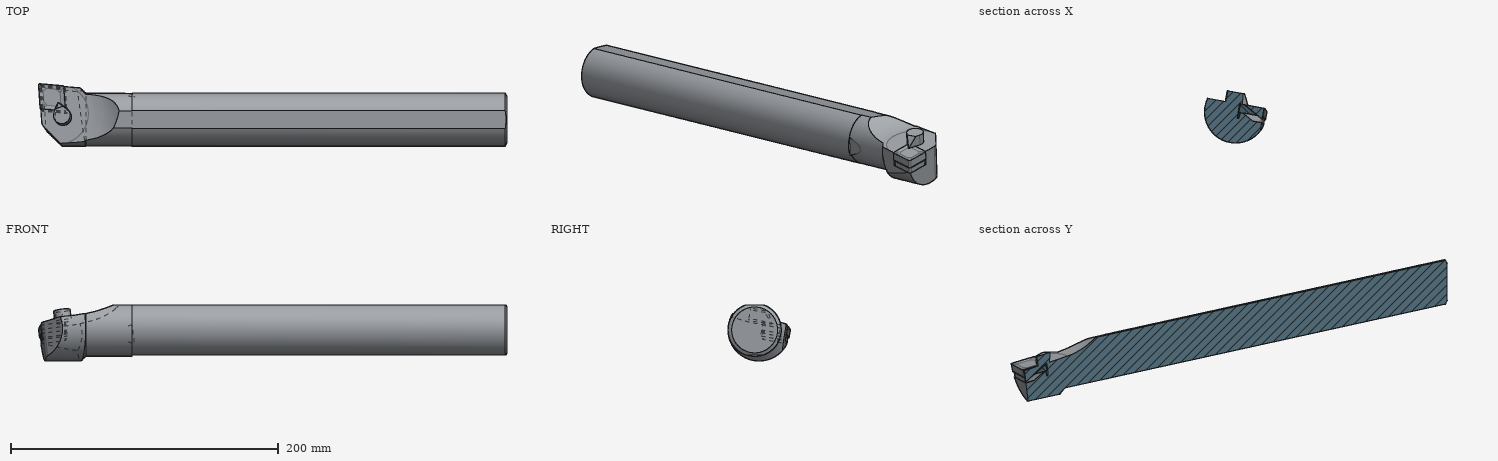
import cadquery as cq
import math


length = 350.0
shank_radius = 20.0
flat_width = 13.5
flat_height = math.sqrt(shank_radius**2 - (flat_width / 2) ** 2)
end_chamfer_length = 2.8
end_chamfer_depth = 1.5
neck_step = 0.18
neck_radius = shank_radius - neck_step
neck_end = 70.0

head_diameter = 46.5
head_radius = head_diameter / 2
head_shift = head_radius - shank_radius
head_start = -3.5
head_end = 35.5

tip_x = -0.1
tip_y = 27.0
axial_tilt = 7.0
radial_tilt = 10.0
lead_angle = 5.0

clearance_centre_x = 15.5
clearance_centre_y = -23.5
clearance_floor_radius = 22.8
runout_radius = 42.0
runout_angle = 70.0

holder_setback = 0.52
end_corner_y = -31.0
end_corner_round = 5.2
front_bevel_angle = 45.0
reach = 70.0

insert_side = 19.2
insert_angle = 80.0
insert_thickness = 6.3
nose_radius = 1.22
rim_width = 3.0
rim_land = 0.5
rim_depth = 0.52
rim_corner_cut = 0.5
floor_corner_cut = 2.5
shim_thickness = 4.5
shim_inset = 0.7

clamp_x = 19.2
clamp_y = -25.5
clamp_radius = 6.3
clamp_height = 8.0
clamp_direction = 110.0
clamp_reach = 12.0
clamp_ramp_angle = 55.0

tool_frame = cq.Location(
    cq.Plane(
        origin=(tip_x, tip_y, 0),
        xDir=(1, 0, math.tan(math.radians(axial_tilt))),
        normal=(-math.tan(math.radians(axial_tilt)), math.tan(math.radians(radial_tilt)), 1),
    )
)


def in_tool_frame(shape):
    """Move a shape built at the origin into the tilted tool frame."""
    return cq.Workplane(shape.val().moved(tool_frame))


def cylinder_x(radius, start, end, shift=0.0):
    """Cylinder along X with its axis at Y = shift."""
    return cq.Workplane("YZ", origin=(start, shift, 0)).circle(radius).extrude(end - start)


def flat_slab(start, bottom):
    """Slab between the two flats of the bar, from start to the rear end."""
    height = flat_height - bottom
    return (
        cq.Workplane("XY", origin=(start, 0, bottom))
        .rect(length - start, 2 * reach, centered=(False, True))
        .extrude(height)
    )


def make_shank():
    shank = cylinder_x(shank_radius, neck_end, length)
    shank = shank.faces(">X").chamfer(end_chamfer_depth, end_chamfer_length)
    return shank.intersect(flat_slab(neck_end, -flat_height))


def make_neck_and_head():
    """Neck and head, with a 45 degree cone about the bar axis trimming the rear of the head."""
    neck = cylinder_x(neck_radius, 0, neck_end)
    cone = (
        cq.Workplane("XY")
        .polyline(
            [
                (head_start, 0),
                (head_start, neck_radius + head_end - head_start),
                (head_end, neck_radius),
                (head_end, 0),
            ]
        )
        .close()
        .revolve(360, (0, 0, 0), (1, 0, 0))
    )
    head = cylinder_x(head_radius, head_start, head_end, head_shift).intersect(cone)
    return neck.union(head).intersect(flat_slab(head_start, -reach))


def chip_clearance():
    """Bowl with a flat floor on the insert plane and a round rim, open towards the head end."""
    turn = math.radians(runout_angle)

    def on_rim(angle):
        return (
            clearance_floor_radius + runout_radius * math.sin(angle),
            runout_radius * (1 - math.cos(angle)),
        )

    rim_radius, bowl_height = on_rim(turn)
    bowl = (
        cq.Workplane("XZ")
        .lineTo(clearance_floor_radius, 0)
        .threePointArc(on_rim(turn / 2), (rim_radius, bowl_height))
        .lineTo(0, bowl_height)
        .close()
        .revolve(360, (0, 0, 0), (0, 1, 0))
    )
    open_side = cq.Workplane("XY").box(reach, 2 * reach, bowl_height, centered=(False, True, False))
    clearance = bowl.union(open_side.translate((-reach, 0, 0)))
    return in_tool_frame(clearance.translate((clearance_centre_x, clearance_centre_y, 0)))


def end_cutter():
    """Material ahead of the end face and the front bevel, with the corner between them rounded."""
    lead = math.tan(math.radians(lead_angle))
    corner_x = holder_setback - end_corner_y * lead
    bevel_x = corner_x + reach * math.tan(math.radians(front_bevel_angle))
    outline = [
        (holder_setback - reach * lead, reach),
        (corner_x, end_corner_y),
        (bevel_x, end_corner_y - reach),
        (-reach, end_corner_y - reach),
        (-reach, reach),
    ]
    cutter = cq.Workplane("XY").polyline(outline).close().extrude(reach, both=True)
    corner = cq.selectors.NearestToPointSelector((corner_x, end_corner_y, 0))
    return in_tool_frame(cutter.edges(corner).fillet(end_corner_round))


def side_cutter():
    """Material beyond the side face, which runs along the insert edge at +Y."""
    drop = math.tan(math.radians(lead_angle))
    outline = [
        (-reach, -holder_setback + reach * drop),
        (reach, -holder_setback - reach * drop),
        (reach, reach),
        (-reach, reach),
    ]
    return in_tool_frame(cq.Workplane("XY").polyline(outline).close().extrude(reach, both=True))


def rhombus(inset):
    """Corners of the insert outline, moved inwards by inset."""
    half_angle = math.radians(insert_angle / 2)
    middle = math.radians(-lead_angle) - half_angle
    side = insert_side - 2 * inset / math.sin(2 * half_angle)
    start_shift = inset / math.sin(half_angle)
    start = cq.Vector(math.cos(middle), math.sin(middle)) * start_shift
    along = cq.Vector(math.cos(middle + half_angle), math.sin(middle + half_angle)) * side
    down = cq.Vector(math.cos(middle - half_angle), math.sin(middle - half_angle)) * side
    return [start, start + along, start + along + down, start + down]


def cut_corners(corners, cut):
    """Outline with each corner replaced by two points, cut away from it along its edges."""
    points = []
    for index, corner in enumerate(corners):
        for neighbour in (corners[index - 1], corners[(index + 1) % len(corners)]):
            points.append(corner + (neighbour - corner).normalized() * cut)
    return points


def rhombic_plate(inset, top, thickness):
    plate = cq.Workplane("XY", origin=(0, 0, top)).polyline(rhombus(inset)).close()
    return plate.extrude(-thickness)


def insert_pocket():
    return in_tool_frame(rhombic_plate(0, 0, insert_thickness + shim_thickness))


def make_shim():
    plate = rhombic_plate(shim_inset, -insert_thickness, shim_thickness)
    return in_tool_frame(plate.edges("|Z").fillet(nose_radius))


def make_clamp():
    """Round clamp with a tapered nose whose front ramp comes down onto the insert."""
    post = cq.Workplane("XY").circle(clamp_radius).extrude(clamp_height)
    tangent_angle = math.acos(clamp_radius / clamp_reach)
    tangent_x = clamp_radius * math.cos(tangent_angle)
    tangent_y = clamp_radius * math.sin(tangent_angle)
    plan = (
        cq.Workplane("XY")
        .polyline([(0, 0), (tangent_x, tangent_y), (clamp_reach, 0), (tangent_x, -tangent_y)])
        .close()
        .extrude(clamp_height)
    )
    ramp_length = clamp_height / math.tan(math.radians(clamp_ramp_angle))
    side = (
        cq.Workplane("XZ")
        .polyline([(0, 0), (clamp_reach, 0), (clamp_reach - ramp_length, clamp_height), (0, clamp_height)])
        .close()
        .extrude(clamp_radius, both=True)
    )
    clamp = post.union(plan.intersect(side))
    clamp = clamp.rotate((0, 0, 0), (0, 0, 1), clamp_direction).translate((clamp_x, clamp_y, 0))
    return in_tool_frame(clamp)


def make_holder():
    """Bar, shim and clamp as one solid."""
    bar = make_shank().union(make_neck_and_head())
    bar = bar.cut(chip_clearance()).cut(end_cutter()).cut(side_cutter()).cut(insert_pocket())
    return bar.union(make_shim()).union(make_clamp())


def make_insert():
    """Rhombic insert with rounded corners and a sunken middle behind a sloping rim."""
    insert = rhombic_plate(0, 0, insert_thickness).edges("|Z").fillet(nose_radius)
    hollow = (
        cq.Workplane("XY")
        .polyline(cut_corners(rhombus(rim_land), rim_corner_cut))
        .close()
        .workplane(offset=-rim_depth)
        .polyline(cut_corners(rhombus(rim_width), floor_corner_cut))
        .close()
        .loft(ruled=True)
    )
    return in_tool_frame(insert.cut(hollow))


holder = make_holder()
insert = make_insert()
result = cq.Compound.makeCompound([holder.solids().val(), insert.solids().val()])